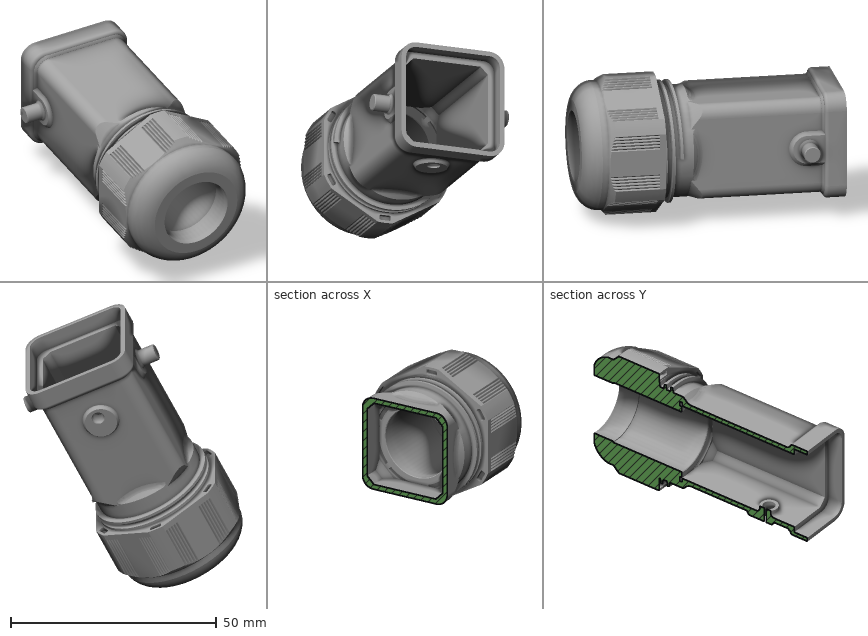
import cadquery as cq
import math


flange_size = 26.85
flange_length = 5.35
flange_corner_radius = 3.9
flange_edge_radius = 0.9
flange_pocket_size = 24.5
flange_pocket_depth = 4.0
flange_pocket_radius = flange_corner_radius - (flange_size - flange_pocket_size) / 2
flange_foot = 0.6
foot_chamfer = 0.555

body_size = 24.2
body_corner_radius = 3.1
cavity_size = 21.4
cavity_front_chamfer = 1.9
cavity_rear_chamfer = 4.1
cavity_gusset_length = 1.55

neck_radius = 27.5 / 2
neck_start = 38.3
nose_end = 37.9
nose_length = 2.3
nose_fillet = 1.75
edge_margin = 0.05
corner_cut_start = 35.2
corner_cut_radius = 15.9

thread_pitch = 2.0
thread_radius = 15.05
thread_start = 40.95
thread_turns = 2.4
thread_root_width = 1.1
thread_crest_width = 0.65
thread_overlap = 0.3

total_length = 65.2
nut_start = 45.2
nut_flats = 32.1
nut_radius = 35.0 / 2
nut_bevel_start = 57.6
cap_start = 59.2
cap_radius = 31.7 / 2
dome_start = 60.8
dome_end_radius = 11.4
dome_mid_x = 63.6
dome_mid_radius = 14.35
nut_sides = 6

groove_start = 46.7
groove_pitch = 0.8
groove_width = 0.6
groove_depth = 0.3
groove_count = 5
groove_band_center = 5.1

nut_pocket_length = 3.0
nut_pocket_width = 1.3
nut_pocket_radius = 0.4
nut_pocket_depth = 1.0
nut_pocket_distance = 16.2

bore_radius = 18.0 / 2
cap_bore_radius = 17.4 / 2
bore_entry_radius = 18.3 / 2
recess_inner_radius = 10.75
recess_outer_radius = 11.85
recess_span = 53.0
recess_first_angle = -13.5
recess_count = 6
recess_depth = 0.65

pin_x = 9.2
pin_radius = 4.1 / 2
pin_foot_radius = 2.55
pin_foot_height = 0.49
pin_tip = 35.0 / 2
pin_tip_chamfer = 0.2
pad_center_x = 9.65
pad_radius = 4.45
pad_height = 0.85
pad_top_radius = 3.5

boss_x = 14.4
outer_boss_radius = 4.5
outer_boss_end_radius = 3.9
outer_boss_height = 1.0
stud_x = 12.9
stud_radius = 2.38
stud_height = 1.75
screw_hole_radius = 3.2 / 2
stud_foot_radius = 6.4 / 2
stud_foot_height = stud_foot_radius - stud_radius


def square_bar(size, corner_radius, start, end):
    """Square bar along X with rounded long edges."""
    bar = cq.Workplane("YZ", origin=(start, 0, 0)).rect(size, size).extrude(end - start)
    return bar.edges("|X").fillet(corner_radius)


def around_x(profile):
    """Turn a closed profile, drawn as (x, radius), about the X axis."""
    return profile.close().revolve(360, (0, 0, 0), (1, 0, 0))


def tapered_disc(plane, radius_from, radius_to, height):
    """Round frustum that grows along the plane's normal."""
    disc = cq.Workplane(plane).circle(radius_from).workplane(offset=height).circle(radius_to)
    return disc.loft(ruled=True)


def make_flange():
    flange = square_bar(flange_size, flange_corner_radius, 0, flange_length)
    flange = flange.faces(">X").edges().fillet(flange_edge_radius)
    foot_size = body_size + 2 * flange_foot
    foot = square_bar(foot_size, body_corner_radius + flange_foot, 0, flange_length + flange_foot)
    return flange.union(foot.faces(">X").edges().chamfer(foot_chamfer))


def make_body():
    """Square bar whose four corners are turned down to the neck."""
    body = square_bar(body_size, body_corner_radius, flange_pocket_depth, neck_start)
    envelope = around_x(
        cq.Workplane("XY")
        .lineTo(0, body_size)
        .lineTo(corner_cut_start, body_size)
        .lineTo(corner_cut_start, corner_cut_radius)
        .lineTo(neck_start, neck_radius)
        .lineTo(neck_start, 0)
    )
    return body.intersect(envelope)


def make_neck():
    """Round neck with a conical nose that sinks into the body."""
    return around_x(
        cq.Workplane("XY")
        .moveTo(nose_end - nose_length, 0)
        .lineTo(nose_end - nose_length, neck_radius - nose_length)
        .lineTo(nose_end, neck_radius)
        .lineTo(nut_start, neck_radius)
        .lineTo(nut_start, 0)
    )


def make_body_with_neck():
    """Join body and neck and round the curved edge where the nose leaves each body flat."""
    joined = make_body().union(make_neck())
    flat = body_size / 2
    nose_tip = nose_end - (neck_radius - flat)
    half_width = math.sqrt(neck_radius ** 2 - flat ** 2) + edge_margin
    reach = flat + edge_margin

    def edges_within(half_y, half_z):
        lower = (nose_tip - edge_margin, -half_y, -half_z)
        upper = (nose_end - edge_margin, half_y, half_z)
        return cq.selectors.BoxSelector(lower, upper)

    nose_edges = edges_within(reach, half_width) + edges_within(half_width, reach)
    return joined.edges(nose_edges).fillet(nose_fillet)


def make_thread():
    """Right-handed ridge of trapezoid section that runs on into the nut."""
    root = neck_radius - thread_overlap
    helix_plane = cq.Plane(origin=(thread_start, 0, 0), xDir=(0, 1, 0), normal=(1, 0, 0))
    path = cq.Wire.makeHelix(thread_pitch, thread_pitch * thread_turns, root)
    path = path.moved(cq.Location(helix_plane))
    section = (
        cq.Workplane("XY")
        .moveTo(thread_start - thread_root_width / 2, root)
        .lineTo(thread_start - thread_crest_width / 2, thread_radius)
        .lineTo(thread_start + thread_crest_width / 2, thread_radius)
        .lineTo(thread_start + thread_root_width / 2, root)
        .close()
    )
    return section.sweep(cq.Workplane(obj=path), isFrenet=True)


def make_nut():
    """Hexagon with corners up and down, rounded by a turned envelope, plus the domed cap."""
    across_corners = nut_flats / math.cos(math.pi / nut_sides)
    hexagon = (
        cq.Workplane("YZ", origin=(nut_start, 0, 0))
        .transformed(rotate=(0, 0, 90))
        .polygon(nut_sides, across_corners)
        .extrude(cap_start - nut_start)
    )
    envelope = around_x(
        cq.Workplane("XY")
        .moveTo(nut_start, 0)
        .lineTo(nut_start, nut_radius)
        .lineTo(nut_bevel_start, nut_radius)
        .lineTo(cap_start, cap_radius)
        .lineTo(cap_start, 0)
    )
    cap = around_x(
        cq.Workplane("XY")
        .moveTo(nut_start, 0)
        .lineTo(nut_start, cap_radius)
        .lineTo(dome_start, cap_radius)
        .threePointArc((dome_mid_x, dome_mid_radius), (total_length, dome_end_radius))
        .lineTo(total_length, 0)
    )
    return hexagon.intersect(envelope).union(cap)


def make_grip_grooves():
    """V grooves for the nut flat on the -Y side."""
    first = -(groove_count - 1) / 2 * groove_pitch
    face = -nut_flats / 2
    grooves = cq.Workplane("YZ", origin=(groove_start, 0, 0))
    for side in (-1, 1):
        for i in range(groove_count):
            middle = side * groove_band_center + first + i * groove_pitch
            grooves = (
                grooves.moveTo(face, middle - groove_width / 2)
                .lineTo(face + groove_depth, middle)
                .lineTo(face, middle + groove_width / 2)
                .close()
            )
    return grooves.extrude(cap_start - groove_start)


def make_nut_pocket():
    pocket = (
        cq.Workplane("YZ", origin=(nut_start, 0, nut_pocket_distance))
        .rect(nut_pocket_length, nut_pocket_width)
        .extrude(nut_pocket_depth)
    )
    return pocket.edges("|X").fillet(nut_pocket_radius)


def cut_around_nut(part, tool):
    """Cut a tool at each of the nut's six sides."""
    for i in range(nut_sides):
        part = part.cut(tool.rotate((0, 0, 0), (1, 0, 0), i * 360 / nut_sides))
    return part


def chamfered_square(size, chamfer):
    half = size / 2
    short = half - chamfer
    return [
        (half, short), (short, half), (-short, half), (-half, short),
        (-half, -short), (-short, -half), (short, -half), (half, -short),
    ]


def make_cavity():
    """Flange pocket, square cavity with corner gussets at its end, and the round passage."""
    pocket = square_bar(flange_pocket_size, flange_pocket_radius, 0, flange_pocket_depth)
    gusset_start = neck_start - cavity_gusset_length
    square = (
        cq.Workplane("YZ", origin=(flange_pocket_depth, 0, 0))
        .polyline(chamfered_square(cavity_size, cavity_front_chamfer))
        .close()
        .extrude(gusset_start - flange_pocket_depth)
    )
    gusseted_end = (
        cq.Workplane("YZ", origin=(gusset_start, 0, 0))
        .polyline(chamfered_square(cavity_size, cavity_front_chamfer))
        .close()
        .workplane(offset=cavity_gusset_length)
        .polyline(chamfered_square(cavity_size, cavity_rear_chamfer))
        .close()
        .loft(ruled=True)
    )
    entry_depth = bore_entry_radius - bore_radius
    passage = around_x(
        cq.Workplane("XY")
        .moveTo(neck_start, 0)
        .lineTo(neck_start, bore_entry_radius)
        .lineTo(neck_start + entry_depth, bore_radius)
        .lineTo(cap_start, bore_radius)
        .lineTo(cap_start, cap_bore_radius)
        .lineTo(total_length, cap_bore_radius)
        .lineTo(total_length, 0)
    )
    return pocket.union(square).union(gusseted_end).union(passage)


def make_arc_recesses():
    """Ring of shallow arc recesses in the cavity's end wall."""
    recesses = cq.Workplane("XY")
    for i in range(recess_count):
        start = recess_first_angle - recess_span / 2 + i * 360 / recess_count
        arc = (
            cq.Workplane("XY")
            .moveTo(neck_start, recess_inner_radius)
            .lineTo(neck_start + recess_depth, recess_inner_radius)
            .lineTo(neck_start + recess_depth, recess_outer_radius)
            .lineTo(neck_start, recess_outer_radius)
            .close()
            .revolve(recess_span, (0, 0, 0), (1, 0, 0))
        )
        recesses = recesses.add(arc.rotate((0, 0, 0), (1, 0, 0), start))
    return recesses


def make_pin():
    """Pin and its sloped pad on the -Y side."""
    wall = -body_size / 2
    pad_top = wall - pad_height
    base_plane = cq.Plane(origin=(pad_center_x, wall, 0), xDir=(1, 0, 0), normal=(0, -1, 0))
    pad_end = tapered_disc(base_plane, pad_radius, pad_top_radius, pad_height)
    pad_bar = (
        cq.Workplane("YZ", origin=(flange_length / 2, 0, 0))
        .moveTo(wall, -pad_radius)
        .lineTo(pad_top, -pad_top_radius)
        .lineTo(pad_top, pad_top_radius)
        .lineTo(wall, pad_radius)
        .close()
        .extrude(pad_center_x - flange_length / 2)
    )
    foot_plane = cq.Plane(origin=(pin_x, pad_top, 0), xDir=(1, 0, 0), normal=(0, -1, 0))
    foot = tapered_disc(foot_plane, pin_foot_radius, pin_radius, pin_foot_height)
    pin_body = cq.Workplane(foot_plane).circle(pin_radius).extrude(pin_tip + pad_top)
    pin_body = pin_body.faces("<Y").chamfer(pin_tip_chamfer)
    return pad_end.union(pad_bar).union(foot).union(pin_body)


def make_outer_boss():
    plane = cq.Plane(origin=(boss_x, 0, -body_size / 2), xDir=(1, 0, 0), normal=(0, 0, -1))
    return tapered_disc(plane, outer_boss_radius, outer_boss_end_radius, outer_boss_height)


def make_stud():
    """Stud with a hollow-curved foot that stands on the cavity floor."""
    foot_reach = stud_foot_height * (1 - math.sqrt(0.5))
    foot_mid = (stud_radius + foot_reach, foot_reach)
    return (
        cq.Workplane("XZ")
        .lineTo(stud_foot_radius, 0)
        .threePointArc(foot_mid, (stud_radius, stud_foot_height))
        .lineTo(stud_radius, stud_height)
        .lineTo(0, stud_height)
        .close()
        .revolve()
        .translate((stud_x, 0, -cavity_size / 2))
    )


def make_screw_hole():
    """Hole through the stud and the bottom wall."""
    hole = cq.Workplane("XY", origin=(stud_x, 0, -flange_size / 2)).circle(screw_hole_radius)
    return hole.extrude(flange_size / 2)


nut = cut_around_nut(make_nut(), make_grip_grooves())
nut = cut_around_nut(nut, make_nut_pocket())

pin = make_pin()
housing = make_flange().union(make_body_with_neck()).union(make_thread())
housing = housing.union(pin).union(pin.mirror("XZ")).union(make_outer_boss())

result = housing.union(nut).cut(make_cavity())
for recess in make_arc_recesses().vals():
    result = result.cut(cq.Workplane(obj=recess))
result = result.union(make_stud()).cut(make_screw_hole())